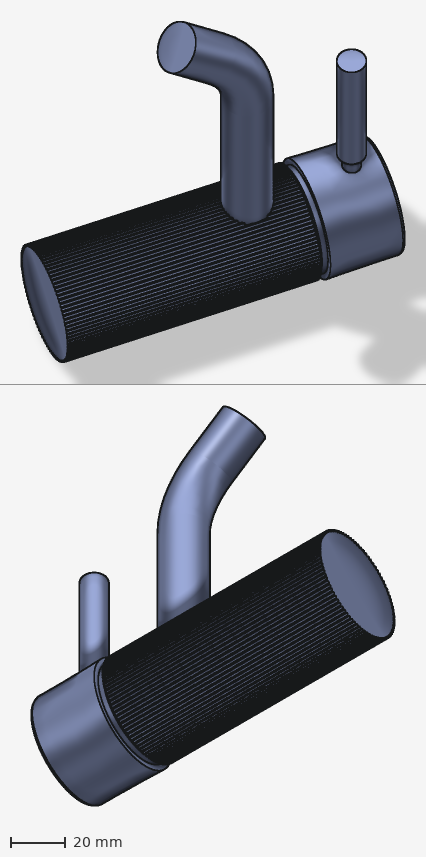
import cadquery as cq
import math

OVERALL_HEIGHT = 155.5

BODY_LENGTH = 100.0
BODY_RADIUS = 22.5
GROOVE_COUNT = 92
GROOVE_WIDTH = 1.0
GROOVE_DEPTH = 0.7

RING_RADIUS = 20.8
THIN_RING_LENGTH = 1.0
THICK_RING_LENGTH = 2.3

CAP_BACK_Y = 133.0
CAP_FRONT_RADIUS = 46.5 / 2
CAP_BACK_RADIUS = 22.9
CAP_CHAMFER_LENGTH = 1.0
CAP_CHAMFER_INSET = 0.5

LEVER_Y = 121.2
LEVER_TOP_Z = 84.1
STEM_RADIUS = 7.0 / 2
STEM_SEAT_Z = 20.0
GRIP_RADIUS = 5.5
GRIP_BOTTOM_Z = 29.2
GRIP_CHAMFER = 1.0

SPOUT_Y = 80.0
SPOUT_RADIUS = 9.6
SPOUT_SEAT_Z = 17.5
SPOUT_BEND_Z = 83.4
SPOUT_BEND_RADIUS = 37.5
SPOUT_BEND_ANGLE = 48
SPOUT_TOP_Z = OVERALL_HEIGHT - CAP_FRONT_RADIUS

THICK_RING_Y = BODY_LENGTH + THIN_RING_LENGTH
CAP_FRONT_Y = THICK_RING_Y + THICK_RING_LENGTH


def cylinder_along_y(radius, start_y, length):
    return cq.Workplane("XZ", origin=(0, start_y, 0)).circle(radius).extrude(-length)


def upright_cylinder(radius, y, bottom_z, height):
    return cq.Workplane("XY", origin=(0, y, bottom_z)).circle(radius).extrude(height)


def polar(radius, angle):
    return radius * math.sin(angle), radius * math.cos(angle)


def make_body():
    """Cylinder with lengthwise round-bottomed grooves and a seat for the spout."""
    pitch = 2 * math.pi / GROOVE_COUNT
    half_groove = math.asin(GROOVE_WIDTH / 2 / BODY_RADIUS)
    groove_bottom = BODY_RADIUS - GROOVE_DEPTH
    profile = cq.Workplane("XZ").moveTo(*polar(BODY_RADIUS, -half_groove))
    for i in range(GROOVE_COUNT):
        middle = i * pitch
        profile = profile.threePointArc(
            polar(groove_bottom, middle),
            polar(BODY_RADIUS, middle + half_groove),
        ).threePointArc(
            polar(BODY_RADIUS, middle + pitch / 2),
            polar(BODY_RADIUS, middle + pitch - half_groove),
        )
    seat = upright_cylinder(SPOUT_RADIUS, SPOUT_Y, SPOUT_SEAT_Z, BODY_RADIUS)
    return profile.close().extrude(-BODY_LENGTH).cut(seat)


def make_ring(start_y, length):
    return cylinder_along_y(RING_RADIUS, start_y, length)


def make_cap():
    """Conical cap with a chamfered back edge and a seat for the lever stem."""
    outline = (
        cq.Workplane("XY")
        .moveTo(0, CAP_FRONT_Y)
        .lineTo(CAP_FRONT_RADIUS, CAP_FRONT_Y)
        .lineTo(CAP_BACK_RADIUS, CAP_BACK_Y - CAP_CHAMFER_LENGTH)
        .lineTo(CAP_BACK_RADIUS - CAP_CHAMFER_INSET, CAP_BACK_Y)
        .lineTo(0, CAP_BACK_Y)
        .close()
    )
    cap = outline.revolve(360, (0, 0, 0), (0, 1, 0))
    seat = upright_cylinder(STEM_RADIUS, LEVER_Y, STEM_SEAT_Z, CAP_FRONT_RADIUS)
    return cap.cut(seat)


def make_lever():
    """Round grip with a chamfered lower edge, on a thinner stem that enters the cap."""
    grip = upright_cylinder(GRIP_RADIUS, LEVER_Y, GRIP_BOTTOM_Z, LEVER_TOP_Z - GRIP_BOTTOM_Z)
    stem = upright_cylinder(STEM_RADIUS, LEVER_Y, STEM_SEAT_Z, GRIP_BOTTOM_Z - STEM_SEAT_Z)
    return grip.faces("<Z").chamfer(GRIP_CHAMFER).union(stem)


def make_spout():
    """Round bar swept up, around the bend and along the sloping outlet."""
    angle = math.radians(SPOUT_BEND_ANGLE)
    bend_center_y = SPOUT_Y - SPOUT_BEND_RADIUS

    def on_bend(turned):
        y = bend_center_y + SPOUT_BEND_RADIUS * math.cos(turned)
        z = SPOUT_BEND_Z + SPOUT_BEND_RADIUS * math.sin(turned)
        return y, z

    bend_end_y, bend_end_z = on_bend(angle)
    outlet_end_z = SPOUT_TOP_Z - SPOUT_RADIUS * math.sin(angle)
    outlet_end_y = bend_end_y - (outlet_end_z - bend_end_z) * math.tan(angle)
    path = (
        cq.Workplane("YZ")
        .moveTo(SPOUT_Y, SPOUT_SEAT_Z)
        .lineTo(SPOUT_Y, SPOUT_BEND_Z)
        .threePointArc(on_bend(angle / 2), (bend_end_y, bend_end_z))
        .lineTo(outlet_end_y, outlet_end_z)
    )
    section = cq.Workplane("XY", origin=(0, SPOUT_Y, SPOUT_SEAT_Z)).circle(SPOUT_RADIUS)
    return section.sweep(path)


body = make_body()
thin_ring = make_ring(BODY_LENGTH, THIN_RING_LENGTH)
thick_ring = make_ring(THICK_RING_Y, THICK_RING_LENGTH)
cap = make_cap()
lever = make_lever()
spout = make_spout()

result = cq.Compound.makeCompound(
    [body.val(), thin_ring.val(), thick_ring.val(), cap.val(), lever.val(), spout.val()]
)